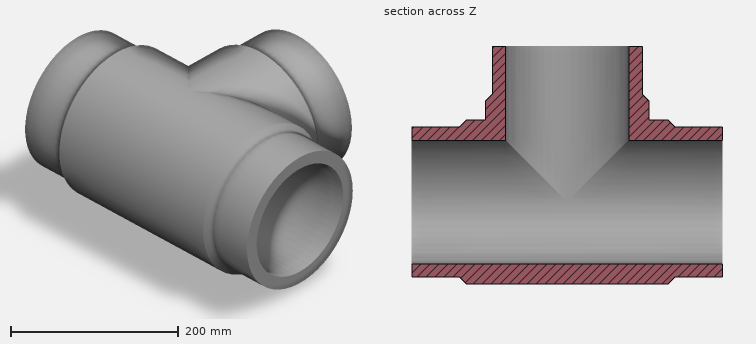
import cadquery as cq

run_length = 372.0
body_diameter = 196.5
spigot_diameter = 180.0
bore_diameter = 147.3
spigot_length = 57.3

arm_length = run_length / 2
body_end = arm_length - spigot_length
chamfer = (body_diameter - spigot_diameter) / 2

run_plane = cq.Plane.YZ()
branch_plane = cq.Plane(origin=(0, 0, 0), xDir=(1, 0, 0), normal=(0, 1, 0))


def cylinder(plane, diameter, start, end):
    """Cylinder about the plane's normal, between two distances along it."""
    return cq.Workplane(plane).workplane(offset=start).circle(diameter / 2).extrude(end - start)


run_body = cylinder(run_plane, body_diameter, -body_end, body_end).faces("<X or >X").chamfer(chamfer)
run = run_body.union(cylinder(run_plane, spigot_diameter, -arm_length, arm_length))

branch_body = cylinder(branch_plane, body_diameter, 0, body_end).faces(">Y").chamfer(chamfer)
branch = branch_body.union(cylinder(branch_plane, spigot_diameter, 0, arm_length))

run_bore = cylinder(run_plane, bore_diameter, -arm_length, arm_length)
branch_bore = cylinder(branch_plane, bore_diameter, 0, arm_length)

result = run.union(branch).cut(run_bore).cut(branch_bore)